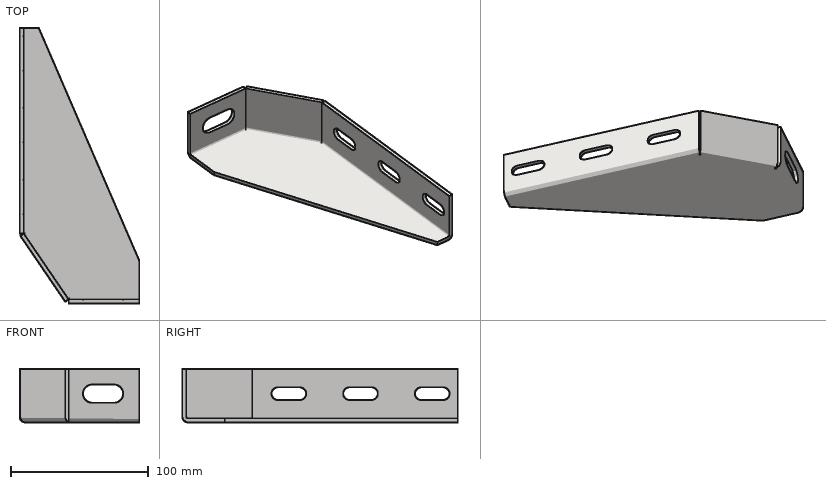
import cadquery as cq
import math

width = 87.0
length = 200.0
height = 39.0

sheet = 3.0
bend_inner = 1.5
bend_outer = bend_inner + sheet

side_wall_end = 50.8
front_wall_start = 35.5
back_edge = 14.0
right_edge_end = 31.0

slot_height = 21.0
side_slot_length = 25.0
side_slot_width = 9.0
side_slot_pitch = 52.0
side_slot_count = 3
last_slot_from_back = 18.5
front_slot_length = 29.0
front_slot_width = 13.0
front_slot_x = 60.5

wall_points = [
    (sheet, length),
    (sheet, side_wall_end),
    (front_wall_start, sheet),
    (width, sheet),
]


def make_plate():
    """Flat base, bounded by the tangent lines of the three bends."""
    slant_x = front_wall_start - sheet
    slant_y = side_wall_end - sheet
    side_turn = math.atan2(slant_x, slant_y)
    front_turn = math.atan2(slant_y, slant_x)
    side_corner_y = side_wall_end + bend_inner * math.tan(side_turn / 2)
    front_corner_x = front_wall_start + bend_inner * math.tan(front_turn / 2)
    outline = [
        (bend_outer, length),
        (back_edge, length),
        (width, right_edge_end),
        (width, bend_outer),
        (front_corner_x, bend_outer),
        (bend_outer, side_corner_y),
    ]
    return cq.Workplane("XY").polyline(outline).close().extrude(sheet)


def make_wall(start, end):
    """Upright wall and its bend, with the inner face running from start to end."""
    run_x = end[0] - start[0]
    run_y = end[1] - start[1]
    run = math.hypot(run_x, run_y)
    outward = (run_y / run, -run_x / run, 0)
    against_run = (-run_x / run, -run_y / run, 0)
    plane = cq.Plane(origin=(start[0], start[1], 0), xDir=outward, normal=against_run)
    diagonal = math.sqrt(0.5)
    outer_mid = (bend_outer * diagonal - bend_inner, bend_outer * (1 - diagonal))
    inner_mid = (bend_inner * (diagonal - 1), bend_outer - bend_inner * diagonal)
    return (
        cq.Workplane(plane)
        .moveTo(-bend_inner, 0)
        .threePointArc(outer_mid, (sheet, bend_outer))
        .lineTo(sheet, height)
        .lineTo(0, height)
        .lineTo(0, bend_outer)
        .threePointArc(inner_mid, (-bend_inner, sheet))
        .close()
        .extrude(-run)
    )


def side_slots():
    """Row of slots through the side wall."""
    last_y = length - last_slot_from_back
    centres = [(last_y - i * side_slot_pitch, slot_height) for i in range(side_slot_count)]
    return (
        cq.Workplane("YZ")
        .pushPoints(centres)
        .slot2D(side_slot_length, side_slot_width)
        .extrude(sheet)
    )


def front_slot():
    """Single wide slot through the front wall."""
    return (
        cq.Workplane("XZ")
        .center(front_slot_x, slot_height)
        .slot2D(front_slot_length, front_slot_width)
        .extrude(-sheet)
    )


result = make_plate()
for wall_start, wall_end in zip(wall_points, wall_points[1:]):
    result = result.union(make_wall(wall_start, wall_end))
result = result.cut(side_slots()).cut(front_slot())